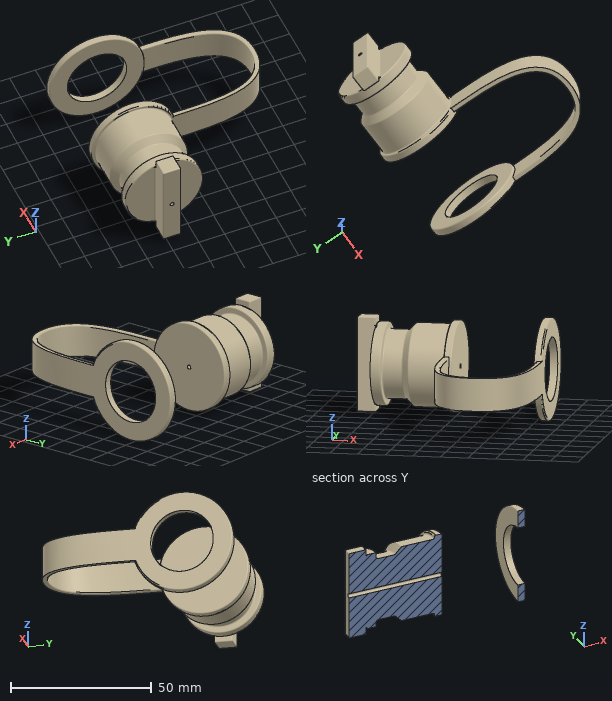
import cadquery as cq
import math

body_diameter = 30.2
neck_diameter = 25.0
flange_diameter = 33.0
head_thickness = 4.0
neck_end = 11.25
flange_start = 26.9
flange_thickness = 3.1
edge_radius = 0.5
vent_diameter = 1.5

grip_width = 6.9
grip_height = 34.4
grip_depth = 7.0

ring_diameter = 37.0
ring_bore = 22.9
ring_thickness = 3.0
ring_end = 62.95
overall_length = 73.45

strap_width = 12.0
strap_thickness = 2.0
strap_bend_start = -20.0
strap_lowest = ring_diameter / 2 - overall_length
strap_root = -15.05
bend_pull = 1.3

body_radius = body_diameter / 2
flange_radius = flange_diameter / 2
neck_radius = neck_diameter / 2
flange_end = flange_start + flange_thickness
cone_end = neck_end + body_radius - neck_radius
arc_run = edge_radius * math.sqrt(0.5)
arc_rise = edge_radius - arc_run


def make_plug():
    """Head, neck, cone, body and flange as one revolved profile with rounded edges."""
    profile = [
        (0, 0),
        (0, body_radius),
        (head_thickness, body_radius),
        (head_thickness, neck_radius),
        (neck_end, neck_radius),
        (cone_end, body_radius),
        (flange_start, body_radius),
        (flange_start, flange_radius),
        (flange_end, flange_radius),
        (flange_end, 0),
    ]
    turned = cq.Workplane("XY").polyline(profile).close().revolve(360, (0, 0, 0), (1, 0, 0))
    return turned.edges("%CIRCLE").fillet(edge_radius)


def make_grip():
    """Rounded bar overhanging the head at both ends, with a concave fillet where it meets the face."""
    bar = cq.Workplane("XY").box(grip_depth, grip_width, grip_height).edges().fillet(edge_radius)
    half_width = grip_width / 2
    flared_half = half_width + edge_radius
    root = (
        cq.Workplane("XY")
        .moveTo(0, -flared_half)
        .lineTo(0, flared_half)
        .threePointArc((-arc_rise, flared_half - arc_run), (-edge_radius, half_width))
        .lineTo(-edge_radius, -half_width)
        .threePointArc((-arc_rise, arc_run - flared_half), (0, -flared_half))
        .close()
        .extrude(body_radius, both=True)
    )
    flat_face = cq.Workplane("YZ").circle(body_radius - edge_radius).extrude(-grip_depth)
    return bar.translate((-grip_depth / 2, 0, 0)).union(root.intersect(flat_face))


def make_ring():
    """Flat ring with rounded outer edges and a plain bore."""
    ring_start = ring_end - ring_thickness
    disc = cq.Workplane("YZ", origin=(ring_start, 0, 0)).circle(ring_diameter / 2).extrude(ring_thickness)
    return disc.edges().fillet(edge_radius).faces("<X").workplane().hole(ring_bore)


def make_strap():
    """Band section, rounded on the inner side of the U, swept down one leg and up the other."""
    middle = (flange_start + ring_end) / 2
    path = (
        cq.Workplane("XY")
        .moveTo(flange_start, strap_root)
        .lineTo(flange_start, strap_bend_start)
        .spline(
            [(middle, strap_lowest), (ring_end, strap_bend_start)],
            tangents=[(0, -bend_pull), (bend_pull, 0), (0, bend_pull)],
            scale=False,
            includeCurrent=True,
        )
        .lineTo(ring_end, strap_root)
    )
    section = cq.Sketch().rect(strap_thickness, strap_width).vertices(">X").fillet(edge_radius)
    plane = cq.Plane((flange_start + strap_thickness / 2, strap_root, 0), (1, 0, 0), (0, -1, 0))
    return cq.Workplane(plane).placeSketch(section).sweep(path)


vent = cq.Workplane("YZ", origin=(-grip_depth, 0, 0)).circle(vent_diameter / 2).extrude(grip_depth + flange_end)

result = make_plug().union(make_grip()).cut(vent).union(make_ring()).union(make_strap())